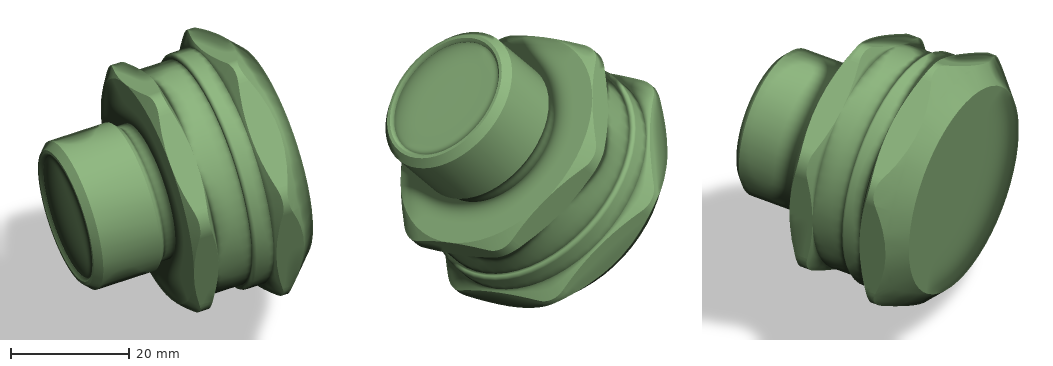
import cadquery as cq
import math

total_length = 37.5
corner_round = 5.0
bevel_slope = math.tan(math.radians(30))

spigot_diameter = 26.45
neck_diameter = 24.1
spigot_tip_chamfer = 1.25
neck_start = 13.0
neck_taper = (spigot_diameter - neck_diameter) / 2
recess_diameter = 21.75
recess_depth = 0.6
recess_chamfer = 0.55

body_flats = 40.0
body_hex_start = 15.0
body_hex_end = 19.55

collar_diameter = 42.0
collar_start = 25.65
collar_round = 0.6
nut_flats = 43.0
nut_start = 29.25
nut_back_radius = 18.6
nut_cone_slope = 1.0


def cylinder(diameter, start, end):
    """Solid cylinder on the Y axis between two Y positions."""
    plane = cq.Plane(origin=(0, start, 0), xDir=(1, 0, 0), normal=(0, 1, 0))
    return cq.Workplane(plane).circle(diameter / 2).extrude(end - start)


def hexagon(flats, start, end):
    """Hexagonal prism with rounded corners, flats facing +X and -X."""
    plane = cq.Plane(origin=(0, start, 0), xDir=(0, 0, 1), normal=(0, 1, 0))
    corner_diameter = flats / math.cos(math.radians(30))
    prism = cq.Workplane(plane).polygon(6, corner_diameter).extrude(end - start)
    return prism.edges("|Y").fillet(corner_round)


def revolved(points):
    """Revolve a (radius, Y) outline about the Y axis."""
    return cq.Workplane("XY").polyline(points).close().revolve(360, (0, 0, 0), (0, 1, 0))


def bevelled_hexagon(flats, start, end, front_radius, back_radius, back_slope):
    """Hexagon trimmed by a cone at each end, each starting at the given face radius."""
    outer_radius = flats / math.sqrt(3)
    envelope = revolved([
        (0, start),
        (front_radius, start),
        (outer_radius, start + (outer_radius - front_radius) * bevel_slope),
        (outer_radius, end - (outer_radius - back_radius) * back_slope),
        (back_radius, end),
        (0, end),
    ])
    return hexagon(flats, start, end).intersect(envelope)


def spigot():
    """Chamfered spigot with a conical shoulder into the neck and a shallow end recess."""
    spigot_radius = spigot_diameter / 2
    neck_radius = neck_diameter / 2
    recess_radius = recess_diameter / 2
    return revolved([
        (0, recess_depth),
        (recess_radius, recess_depth),
        (recess_radius, recess_chamfer),
        (recess_radius + recess_chamfer, 0),
        (spigot_radius - spigot_tip_chamfer, 0),
        (spigot_radius, spigot_tip_chamfer),
        (spigot_radius, neck_start - neck_taper),
        (neck_radius, neck_start),
        (neck_radius, body_hex_start),
        (0, body_hex_start),
    ])


body_hex = bevelled_hexagon(
    body_flats, body_hex_start, body_hex_end, body_flats / 2, body_flats / 2, bevel_slope
)
body_cylinder = cylinder(body_flats, body_hex_end, collar_start)
collar = cylinder(collar_diameter, collar_start, nut_start).faces("<Y").edges().fillet(collar_round)
nut_hex = bevelled_hexagon(
    nut_flats, nut_start, total_length, collar_diameter / 2, nut_back_radius, nut_cone_slope
)

result = spigot().union(body_hex).union(body_cylinder).union(collar).union(nut_hex)